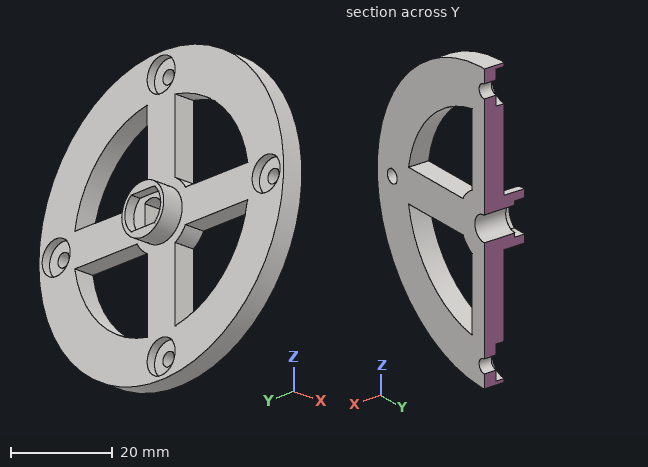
import cadquery as cq

wheel_diameter = 70.0
wheel_thickness = 5.0
rim_inner_diameter = 50.0
spoke_width = 8.0
hub_diameter = 16.0

boss_diameter = 12.0
boss_height = 5.0
recess_diameter = 10.2
recess_flat_width = 7.8
recess_depth = 2.4
bore_diameter = 6.0
bore_flat_offset = 1.9

screw_count = 4
screw_circle_diameter = 60.0
screw_hole_diameter = 3.2
counterbore_diameter = 8.0
counterbore_depth = 2.0

wheel_front = 0.0
boss_front = wheel_front - boss_height
total_length = boss_height + wheel_thickness


def disc(diameter, start_x, length):
    """Cylinder on the wheel axis, running towards +X from start_x."""
    return cq.Workplane("YZ", origin=(start_x, 0, 0)).circle(diameter / 2).extrude(length)


def block(size_y, size_z, start_x, length):
    """Block centred on the wheel axis, running towards +X from start_x."""
    return cq.Workplane("YZ", origin=(start_x, 0, 0)).rect(size_y, size_z).extrude(length)


def make_wheel_body():
    """Rim joined to a central hub by two crossing bars."""
    rim = disc(wheel_diameter, wheel_front, wheel_thickness)
    rim = rim.cut(disc(rim_inner_diameter, wheel_front, wheel_thickness))
    bar_length = (wheel_diameter + rim_inner_diameter) / 2
    bar_y = block(bar_length, spoke_width, wheel_front, wheel_thickness)
    bar_z = block(spoke_width, bar_length, wheel_front, wheel_thickness)
    hub = disc(hub_diameter, wheel_front, wheel_thickness)
    return rim.union(bar_y).union(bar_z).union(hub)


def make_recess():
    """Round recess in the boss, limited by flats above and below the axis."""
    flats = block(recess_diameter, recess_flat_width, boss_front, recess_depth)
    return disc(recess_diameter, boss_front, recess_depth).intersect(flats)


def make_shaft_bore():
    """D-shaped through bore with its flat on the +Y side."""
    bore_radius = bore_diameter / 2
    kept_width = bore_radius + bore_flat_offset
    kept_side = block(kept_width, bore_diameter, boss_front, total_length)
    kept_side = kept_side.translate((0, bore_flat_offset - kept_width / 2, 0))
    return disc(bore_diameter, boss_front, total_length).intersect(kept_side)


def make_screw_holes():
    """Counterbored holes, open to the boss side of the wheel."""
    hole = disc(screw_hole_diameter, wheel_front, wheel_thickness)
    hole = hole.union(disc(counterbore_diameter, wheel_front, counterbore_depth))
    hole = hole.translate((0, screw_circle_diameter / 2, 0))
    holes = cq.Workplane("YZ")
    for index in range(screw_count):
        angle = index * 360 / screw_count
        holes = holes.add(hole.rotate((0, 0, 0), (1, 0, 0), angle))
    return holes.combine()


boss = disc(boss_diameter, boss_front, boss_height)
result = make_wheel_body().union(boss)
result = result.cut(make_recess())
result = result.cut(make_shaft_bore())
result = result.cut(make_screw_holes())